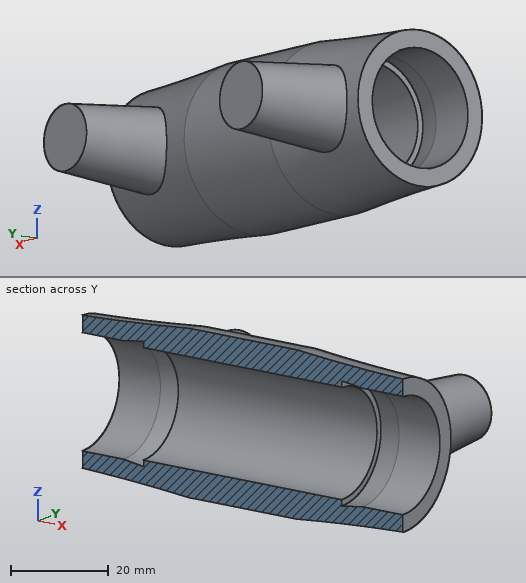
import cadquery as cq

length = 82.0
band_length = 27.4
band_radius = 18.0
end_radius = 16.25
flank_hollow = 0.2

socket_radius = 25.0 / 2
socket_depth = 10.5
chamber_length = 5.1
chamber_radius = 13.2
stop_radius = 23.75 / 2

branch_offset = 28.75
branch_tip_y = 37.0
branch_tip_radius = 7.0
branch_taper = 5.0

half_length = length / 2
half_band = band_length / 2
flank_middle_x = (half_length + half_band) / 2
flank_middle_radius = (end_radius + band_radius) / 2 - flank_hollow
socket_floor_x = half_length - socket_depth
stop_face_x = socket_floor_x - chamber_length


def revolve_about_x(outline):
    return outline.close().revolve(360, (0, 0, 0), (1, 0, 0))


def make_body():
    """Straight middle band between two slightly hollow flanks."""
    outline = (
        cq.Workplane("XZ")
        .moveTo(-half_length, 0)
        .lineTo(-half_length, end_radius)
        .threePointArc((-flank_middle_x, flank_middle_radius), (-half_band, band_radius))
        .lineTo(half_band, band_radius)
        .threePointArc((flank_middle_x, flank_middle_radius), (half_length, end_radius))
        .lineTo(half_length, 0)
    )
    return revolve_about_x(outline)


def make_branch(x):
    """Peg that widens from its tip down to the body axis."""
    return (
        cq.Workplane("XZ", origin=(x, branch_tip_y, 0))
        .circle(branch_tip_radius)
        .extrude(branch_tip_y, taper=-branch_taper)
    )


def make_bore():
    """Through bore: socket, flared chamber and stop, the same from both ends."""
    outline = (
        cq.Workplane("XZ")
        .moveTo(-half_length, 0)
        .lineTo(-half_length, socket_radius)
        .lineTo(-socket_floor_x, socket_radius)
        .lineTo(-stop_face_x, chamber_radius)
        .lineTo(-stop_face_x, stop_radius)
        .lineTo(stop_face_x, stop_radius)
        .lineTo(stop_face_x, chamber_radius)
        .lineTo(socket_floor_x, socket_radius)
        .lineTo(half_length, socket_radius)
        .lineTo(half_length, 0)
    )
    return revolve_about_x(outline)


body = make_body()
for side in (-1, 1):
    body = body.union(make_branch(side * branch_offset))

result = body.cut(make_bore())